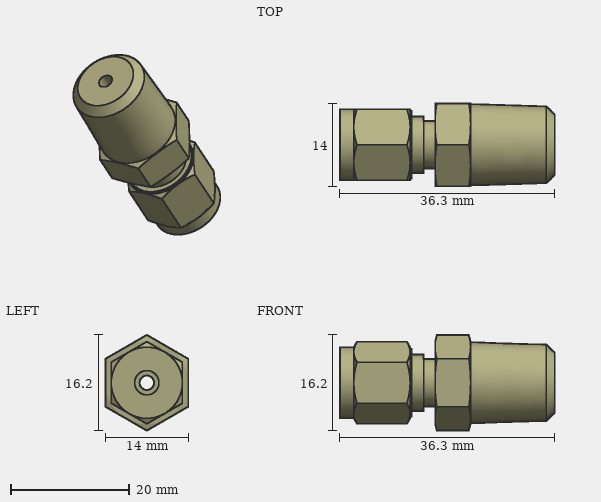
import cadquery as cq
import math

COLLAR_END = 2.35
NUT_HEX_END = 11.87
NUT_END = 12.15
SHOULDER_END = 14.15
BODY_HEX_START = 16.08
BODY_HEX_END = 22.07
THREAD_START = 23.1
THREAD_END = 34.9
LENGTH = 36.3

NUT_FLATS = 12.0
NUT_CHAMFER_ANGLE = 30.0
NUT_FACE_DIAMETER = 11.47

BODY_FLATS = 14.0
BODY_CHAMFER_ANGLE = 15.0
SHOULDER_DIAMETER = 9.6
NECK_DIAMETER = 8.05

THREAD_DIAMETER = 13.72
THREAD_TAPER = 1 / 16
TIP_CHAMFER_ANGLE = 45.0

TUBE_DIAMETER = 4.1
TUBE_DEPTH = NUT_END
FLOW_DIAMETER = 2.4


def cylinder(start, end, diameter):
    """Round bar along X from start to end."""
    plane = cq.Workplane("YZ", origin=(start, 0, 0))
    return plane.circle(diameter / 2).extrude(end - start)


def turned(profile):
    """Solid of revolution about X from (x, radius) points."""
    return cq.Workplane("XY").polyline(profile).close().revolve(360, (0, 0), (1, 0))


def chamfered_hexagon(start, end, flats, chamfer_angle):
    """Hexagon bar with corners up and down, cut by a cone at both ends."""
    corner_diameter = flats / math.cos(math.pi / 6)
    bar = (
        cq.Workplane("YZ", origin=(start, 0, 0))
        .transformed(rotate=(0, 0, 90))
        .polygon(6, corner_diameter)
        .extrude(end - start)
    )
    face_radius = flats / 2
    outer_radius = corner_diameter
    cone_length = (outer_radius - face_radius) * math.tan(math.radians(chamfer_angle))
    envelope = turned([
        (start, 0),
        (start, face_radius),
        (start + cone_length, outer_radius),
        (end - cone_length, outer_radius),
        (end, face_radius),
        (end, 0),
    ])
    return bar.intersect(envelope)


def nut():
    collar = cylinder(0, COLLAR_END, NUT_FLATS)
    hexagon = chamfered_hexagon(COLLAR_END, NUT_HEX_END, NUT_FLATS, NUT_CHAMFER_ANGLE)
    face = cylinder(NUT_HEX_END, NUT_END, NUT_FACE_DIAMETER)
    return collar.union(hexagon).union(face)


def body():
    shoulder = cylinder(NUT_END, SHOULDER_END, SHOULDER_DIAMETER)
    neck = cylinder(SHOULDER_END, BODY_HEX_START, NECK_DIAMETER)
    hexagon = chamfered_hexagon(BODY_HEX_START, BODY_HEX_END, BODY_FLATS, BODY_CHAMFER_ANGLE)
    return shoulder.union(neck).union(hexagon)


def thread():
    """Straight run-out, tapered thread envelope and chamfered tip."""
    large_radius = THREAD_DIAMETER / 2
    small_radius = large_radius - (THREAD_END - THREAD_START) * THREAD_TAPER / 2
    tip_radius = small_radius - (LENGTH - THREAD_END) * math.tan(math.radians(TIP_CHAMFER_ANGLE))
    return turned([
        (BODY_HEX_END, 0),
        (BODY_HEX_END, large_radius),
        (THREAD_START, large_radius),
        (THREAD_END, small_radius),
        (LENGTH, tip_radius),
        (LENGTH, 0),
    ])


tube_socket = cylinder(0, TUBE_DEPTH, TUBE_DIAMETER)
flow_passage = cylinder(0, LENGTH, FLOW_DIAMETER)

result = nut().union(body()).union(thread()).cut(tube_socket).cut(flow_passage)